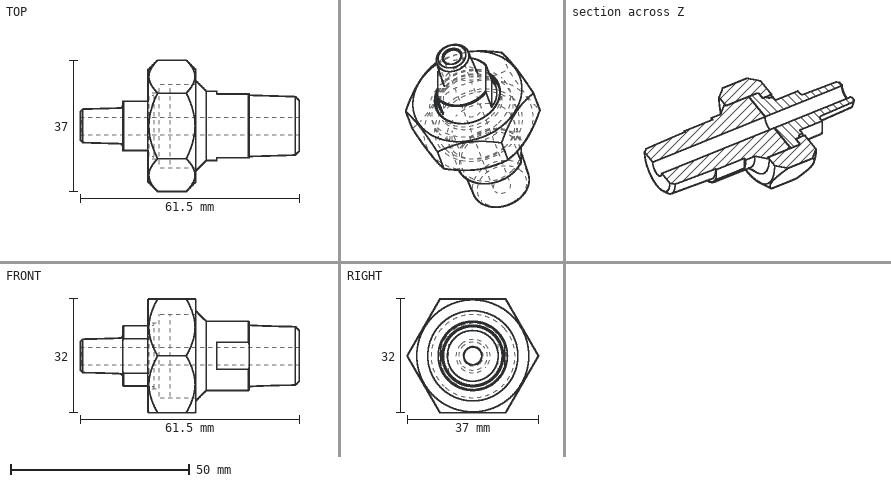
import cadquery as cq
import math


total_length = 61.5
bore_dia = 5.0
bore_chamfer = 0.3
edge_chamfer = 0.25

nut_start = 19.0
nut_width = 13.45
nut_across_flats = 32.0
nut_face_dia = 31.5
lip_length = 3.1
lip_bore_dia = 18.5
lip_chamfer = 0.25
thread_bore_dia = 23.5
nut_end = nut_start + nut_width
lip_end = nut_start + lip_length

nipple_tip_chamfer = 0.75
nipple_thread_tip_dia = 9.5
nipple_thread_root_dia = 10.1
nipple_shoulder = 11.95
nipple_root_fillet = 0.8
nipple_body_dia = 17.0
nipple_across_flats = 13.9
nipple_flats_depth = 0.2
nipple_flats_end = nut_start + nipple_flats_depth
collar_fillet_offset = 0.75
collar_fillet_start = nipple_flats_end + collar_fillet_offset
nipple_flange_width = 3.1
nipple_end = lip_end + nipple_flange_width

tail_cone_dia = 25.35
tail_body_dia = 19.5
tail_flats_start = 38.4
tail_across_flats = 17.95
tail_shoulder = 47.5
tail_thread_root_dia = 17.3
tail_thread_tip_dia = 16.5
tail_tip_chamfer = 1.1
tail_body_start = nut_end + (tail_cone_dia - tail_body_dia) / 2


def revolve_about_x(profile):
    """Revolve a closed XY profile about the X axis."""
    return profile.close().revolve(360, (0, 0, 0), (1, 0, 0))


def cylinder(start, end, diameter):
    """Cylinder on the X axis."""
    return cq.Workplane("YZ", origin=(start, 0, 0)).circle(diameter / 2).extrude(end - start)


def cut_side_flats(body, start, end, across_flats, diameter):
    """Cut a pair of flats facing -Y and +Y."""
    for side in (-1, 1):
        cutter = cq.Workplane("XY").box(
            end - start, diameter, 2 * diameter, centered=(False, True, True)
        )
        body = body.cut(cutter.translate((start, side * (across_flats + diameter) / 2, 0)))
    return body


def make_nut():
    corner_dia = nut_across_flats / math.cos(math.pi / 6)
    corner_chamfer = (corner_dia - nut_face_dia) / 2
    nut = cq.Workplane("YZ", origin=(nut_start, 0, 0)).polygon(6, corner_dia).extrude(nut_width)
    turned_blank = cylinder(nut_start, nut_end, corner_dia).edges().chamfer(corner_chamfer)
    nut = nut.intersect(turned_blank)
    nut = nut.cut(cylinder(nut_start, lip_end, lip_bore_dia))
    nut = nut.cut(cylinder(lip_end, nut_end, thread_bore_dia))
    lip_countersink = revolve_about_x(
        cq.Workplane("XY")
        .moveTo(nut_start, 0)
        .lineTo(nut_start, lip_bore_dia / 2 + lip_chamfer)
        .lineTo(nut_start + lip_chamfer, lip_bore_dia / 2)
        .lineTo(nut_start + lip_chamfer, 0)
    )
    return nut.cut(lip_countersink)


def make_nipple():
    tip_radius = nipple_thread_tip_dia / 2
    root_radius = nipple_thread_root_dia / 2
    body_radius = nipple_body_dia / 2
    lip_radius = lip_bore_dia / 2
    flange_radius = thread_bore_dia / 2
    collar_fillet = lip_radius - body_radius
    diagonal = math.sqrt(0.5)
    profile = (
        cq.Workplane("XY")
        .moveTo(0, bore_dia / 2 + bore_chamfer)
        .lineTo(0, tip_radius - nipple_tip_chamfer)
        .lineTo(nipple_tip_chamfer, tip_radius)
        .lineTo(nipple_shoulder - nipple_root_fillet, root_radius)
        .threePointArc(
            (
                nipple_shoulder - nipple_root_fillet * (1 - diagonal),
                root_radius + nipple_root_fillet * (1 - diagonal),
            ),
            (nipple_shoulder, root_radius + nipple_root_fillet),
        )
        .lineTo(nipple_shoulder, body_radius - edge_chamfer)
        .lineTo(nipple_shoulder + edge_chamfer, body_radius)
        .lineTo(collar_fillet_start, body_radius)
        .threePointArc(
            (
                collar_fillet_start + collar_fillet * diagonal,
                body_radius + collar_fillet * (1 - diagonal),
            ),
            (collar_fillet_start + collar_fillet, lip_radius),
        )
        .lineTo(lip_end, lip_radius)
        .lineTo(lip_end, flange_radius)
        .lineTo(nipple_end, flange_radius)
        .lineTo(nipple_end, bore_dia / 2)
        .lineTo(bore_chamfer, bore_dia / 2)
    )
    return cut_side_flats(
        revolve_about_x(profile),
        nipple_shoulder,
        nipple_flats_end,
        nipple_across_flats,
        nipple_body_dia,
    )


def make_tailpiece():
    spigot_radius = thread_bore_dia / 2
    body_radius = tail_body_dia / 2
    tip_radius = tail_thread_tip_dia / 2
    profile = (
        cq.Workplane("XY")
        .moveTo(nipple_end, bore_dia / 2)
        .lineTo(nipple_end, spigot_radius)
        .lineTo(nut_end, spigot_radius)
        .lineTo(nut_end, tail_cone_dia / 2)
        .lineTo(tail_body_start, body_radius)
        .lineTo(tail_shoulder - edge_chamfer, body_radius)
        .lineTo(tail_shoulder, body_radius - edge_chamfer)
        .lineTo(tail_shoulder, tail_thread_root_dia / 2)
        .lineTo(total_length - tail_tip_chamfer, tip_radius)
        .lineTo(total_length, tip_radius - tail_tip_chamfer)
        .lineTo(total_length, bore_dia / 2)
    )
    return cut_side_flats(
        revolve_about_x(profile),
        tail_flats_start,
        tail_shoulder,
        tail_across_flats,
        tail_body_dia,
    )


nut = make_nut()
nipple = make_nipple()
tailpiece = make_tailpiece()

result = cq.Compound.makeCompound([nut.solids().val(), nipple.solids().val(), tailpiece.solids().val()])